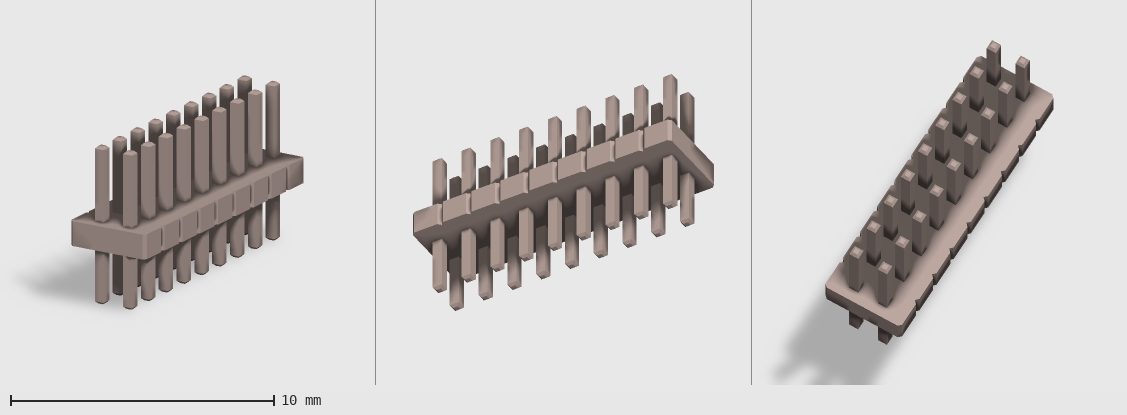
import cadquery as cq

ROWS = 9
HOUSING_LENGTH = 11.43
PITCH = HOUSING_LENGTH / ROWS
HOUSING_WIDTH = 3.4
HOUSING_HEIGHT = 1.0
CELL_CHAMFER = 0.13

COLUMNS = 2
PIN_WIDTH = 0.4
PIN_CHAMFER = 0.1
PIN_LENGTH = 6.3
PIN_BELOW_HOUSING = 2.3


def centred_positions(count):
    """Places of evenly pitched items, centred on zero."""
    return [(i - (count - 1) / 2) * PITCH for i in range(count)]


def make_housing():
    """Chamfered cells joined end to end, leaving V notches between them."""
    cell = (
        cq.Workplane("XY")
        .rect(HOUSING_WIDTH, PITCH)
        .extrude(HOUSING_HEIGHT)
        .edges("|Z")
        .chamfer(CELL_CHAMFER)
    )
    housing = cq.Workplane("XY")
    for y in centred_positions(ROWS):
        housing = housing.union(cell.translate((0, y, 0)))
    return housing.clean()


def make_pin():
    """One pin on the Z axis, with its lower end at its place below the housing."""
    return (
        cq.Workplane("XY", origin=(0, 0, -PIN_BELOW_HOUSING))
        .rect(PIN_WIDTH, PIN_WIDTH)
        .extrude(PIN_LENGTH)
        .faces("<Z or >Z")
        .chamfer(PIN_CHAMFER)
    )


result = make_housing()
pin = make_pin()
for x in centred_positions(COLUMNS):
    for y in centred_positions(ROWS):
        result = result.union(pin.translate((x, y, 0)))